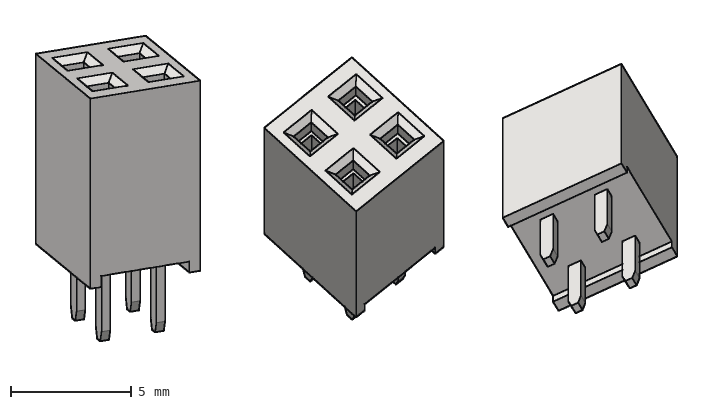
import cadquery as cq

length_x = 5.58
width_y = 5.0
height_z = 11.5

pin_reach = 3.0
foot_size = 0.5
housing_floor = pin_reach + foot_size

socket_pitch = 2.54
mouth_side = 1.6
well_side = 1.0
mouth_depth = (mouth_side - well_side) / 2
well_depth = 0.7
contact_side = 0.7
contact_depth = 5.0

pin_pitch_x = socket_pitch
pin_pitch_y = 2.5
pin_width_x = 0.6
pin_thickness_y = 0.4
tip_width = 0.32
tip_length = 0.5


def grid_centres(pitch_x, pitch_y):
    """Centres of a 2 x 2 grid about the origin."""
    return [(x * pitch_x / 2, y * pitch_y / 2) for x in (-1, 1) for y in (-1, 1)]


def make_housing():
    """Block with a channel along X between the two feet."""
    base = cq.Workplane("XY").workplane(offset=pin_reach)
    block = base.rect(length_x, width_y).extrude(height_z - pin_reach)
    channel = base.rect(length_x, width_y - 2 * foot_size).extrude(foot_size)
    return block.cut(channel)


def square_recess(centre, side, top, depth):
    """Straight square recess running down from the height top."""
    return cq.Workplane("XY").workplane(offset=top).center(*centre).rect(side, side).extrude(-depth)


def socket_mouth(centre):
    """Square lead-in funnel narrowing from the mouth to the well."""
    return (
        cq.Workplane("XY")
        .workplane(offset=height_z)
        .center(*centre)
        .rect(mouth_side, mouth_side)
        .workplane(offset=-mouth_depth)
        .rect(well_side, well_side)
        .loft()
    )


def make_pin(centre):
    """Flat pin whose tip tapers in X only."""
    x, y = centre
    outline = [
        (x - pin_width_x / 2, housing_floor),
        (x - pin_width_x / 2, tip_length),
        (x - tip_width / 2, 0),
        (x + tip_width / 2, 0),
        (x + pin_width_x / 2, tip_length),
        (x + pin_width_x / 2, housing_floor),
    ]
    return (
        cq.Workplane("XZ", origin=(0, y, 0))
        .polyline(outline)
        .close()
        .extrude(pin_thickness_y / 2, both=True)
    )


well_top = height_z - mouth_depth
well_floor = well_top - well_depth

result = make_housing()

for socket_centre in grid_centres(socket_pitch, socket_pitch):
    result = result.cut(socket_mouth(socket_centre))
    result = result.cut(square_recess(socket_centre, well_side, well_top, well_depth))

for pin_centre in grid_centres(pin_pitch_x, pin_pitch_y):
    result = result.cut(square_recess(pin_centre, contact_side, well_floor, contact_depth))
    result = result.union(make_pin(pin_centre))